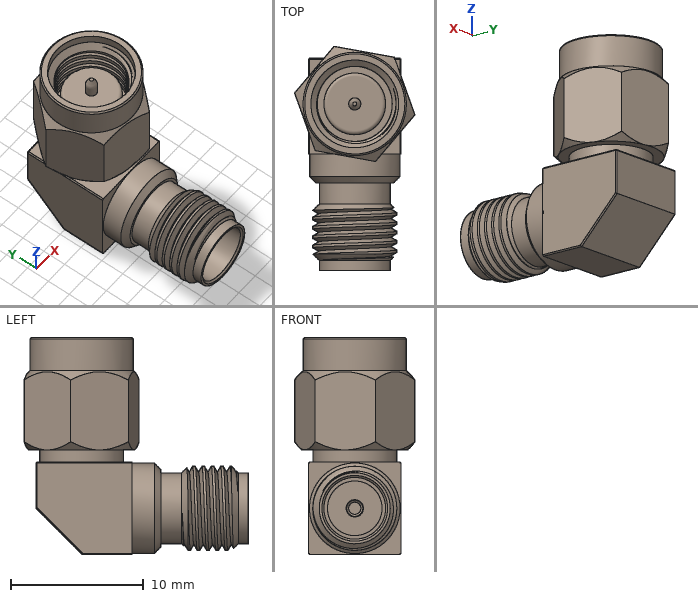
import cadquery as cq
import math


MM_PER_INCH = 25.4
THREADS_PER_INCH = 36
PITCH = MM_PER_INCH / THREADS_PER_INCH
FLANK_HALF_ANGLE = 30
FLANK_SLOPE = math.tan(math.radians(FLANK_HALF_ANGLE))
CUT_OVERSHOOT = 0.1

BLOCK_SIDE = 7.0
BLOCK_HALF = BLOCK_SIDE / 2
BLOCK_BACK_Y = 3.45
BLOCK_FRONT_Y = -3.8
BEVEL_SIZE = BLOCK_HALF
EDGE_BREAK = 0.1

FLANGE_R = 3.42
FLANGE_CHAMFER = 0.5
FLANGE_END = 5.98
NECK_R = 2.68
THREAD_R = MM_PER_INCH / 4 / 2
THREAD_DEPTH = 0.44
THREAD_START = 7.55
THREAD_END = 11.82
THREAD_CHAMFER = THREAD_R - NECK_R
FEMALE_END = 12.59
GROOVE_START = 6.53
GROOVE_TURNS = 8

SOCKET_R = 2.33
SOCKET_DEPTH = 2.0
SOCKET_LIP_CHAMFER = 0.15
INSULATOR_R = 2.06
INSULATOR_PROUD = 0.05
CONTACT_R = 0.65
CONTACT_MOUTH_R = 0.61
CONTACT_HOLE_R = 0.46
CONTACT_PROUD = 0.1
CONTACT_HOLE_DEPTH = 2.5

COLLAR_R = THREAD_R
COLLAR_TOP_Z = 8.4
PLUG_R = 2.33
PLUG_TOP_Z = 10.4
PLUG_FILLET = PLUG_R - INSULATOR_R
PIN_R = 0.46
PIN_STRAIGHT_TOP_Z = 11.26
PIN_CONE_R = 0.34
PIN_CONE_Z = 11.57
PIN_TIP_R = 0.15
PIN_TIP_Z = 11.9

NUT_BOTTOM_Z = 4.4
HEX_TOP_Z = 10.4
NUT_TOP_Z = 12.9
HEX_FLATS = 8.0
HEX_CORNER_R = HEX_FLATS / math.sqrt(3)
HEX_TURN = -10.25
SLEEVE_R = 3.9
SLEEVE_CHAMFER = 0.12
NUT_MOUTH_R = 3.31
NUT_MOUTH_DEPTH = 0.75
NUT_MINOR_R = 2.83
NUT_THREAD_DEPTH = 0.3


def revolve_profile(points):
    """Turn a closed (radius, height) outline about the Z axis."""
    return cq.Workplane("XZ").polyline(points).close().revolve(360, (0, 0), (0, 1))


def thread_groove(open_r, depth, z_start, z_end):
    """Helical V groove about Z; depth is negative for a groove that cuts toward the axis."""
    direction = math.copysign(1, depth)
    mouth_r = open_r - direction * CUT_OVERSHOOT
    root_r = open_r + depth
    half_width = abs(root_r - mouth_r) * FLANK_SLOPE
    path = cq.Wire.makeHelix(PITCH, z_end - z_start, mouth_r)
    profile = cq.Workplane("XZ").polyline([
        (mouth_r, -half_width),
        (root_r, 0),
        (mouth_r, half_width),
    ]).close()
    groove = profile.sweep(cq.Workplane(obj=path), isFrenet=True)
    return groove.translate((0, 0, z_start))


def elbow_block():
    """Square block beveled at the outer corner of the elbow, its sides and rear top edge eased."""
    block = (
        cq.Workplane("YZ")
        .polyline([
            (BLOCK_FRONT_Y, -BLOCK_HALF),
            (BLOCK_BACK_Y - BEVEL_SIZE, -BLOCK_HALF),
            (BLOCK_BACK_Y, -BLOCK_HALF + BEVEL_SIZE),
            (BLOCK_BACK_Y, BLOCK_HALF),
            (BLOCK_FRONT_Y, BLOCK_HALF),
        ])
        .close()
        .extrude(BLOCK_HALF, both=True)
    )
    front_edges = cq.selectors.BoxSelector(
        (-BLOCK_SIDE, BLOCK_FRONT_Y - EDGE_BREAK, -BLOCK_SIDE),
        (BLOCK_SIDE, BLOCK_FRONT_Y + EDGE_BREAK, BLOCK_SIDE),
    )
    rear_top_edge = cq.selectors.BoxSelector(
        (-EDGE_BREAK, BLOCK_BACK_Y - EDGE_BREAK, BLOCK_HALF - EDGE_BREAK),
        (EDGE_BREAK, BLOCK_BACK_Y + EDGE_BREAK, BLOCK_HALF + EDGE_BREAK),
    )
    side_edges = cq.selectors.SubtractSelector(cq.StringSyntaxSelector("#X"), front_edges)
    return block.edges(cq.selectors.SumSelector(side_edges, rear_top_edge)).chamfer(EDGE_BREAK)


def female_end():
    """Female connector, built along +Z and then laid down onto -Y."""
    floor = FEMALE_END - SOCKET_DEPTH
    insulator_face = floor + INSULATOR_PROUD
    contact_face = insulator_face + CONTACT_PROUD
    barrel = revolve_profile([
        (0, 0),
        (FLANGE_R, 0),
        (FLANGE_R, FLANGE_END - FLANGE_CHAMFER),
        (FLANGE_R - FLANGE_CHAMFER, FLANGE_END),
        (NECK_R, FLANGE_END),
        (NECK_R, THREAD_START),
        (THREAD_R, THREAD_START + THREAD_CHAMFER),
        (THREAD_R, THREAD_END - THREAD_CHAMFER),
        (NECK_R, THREAD_END),
        (NECK_R, FEMALE_END),
        (SOCKET_R + SOCKET_LIP_CHAMFER, FEMALE_END),
        (SOCKET_R, FEMALE_END - SOCKET_LIP_CHAMFER),
        (SOCKET_R, floor),
        (INSULATOR_R, floor),
        (INSULATOR_R, insulator_face),
        (CONTACT_R, insulator_face),
        (CONTACT_R, contact_face),
        (CONTACT_MOUTH_R, contact_face),
        (CONTACT_HOLE_R, contact_face - (CONTACT_MOUTH_R - CONTACT_HOLE_R)),
        (CONTACT_HOLE_R, contact_face - CONTACT_HOLE_DEPTH),
        (0, contact_face - CONTACT_HOLE_DEPTH),
    ])
    groove = thread_groove(THREAD_R, -THREAD_DEPTH, GROOVE_START, GROOVE_START + GROOVE_TURNS * PITCH)
    flange_blank = cq.Workplane("XY").circle(FLANGE_R).extrude(FLANGE_END)
    threaded_rod = cq.Workplane("XY").circle(THREAD_R).extrude(FEMALE_END).cut(groove)
    blank = threaded_rod.union(flange_blank)
    return blank.intersect(barrel).rotate((0, 0, 0), (1, 0, 0), 90)


def male_plug():
    """Collar and round-edged plug, with a center pin that rounds over into a cone."""
    outline = (
        cq.Workplane("XZ")
        .lineTo(COLLAR_R, 0)
        .lineTo(COLLAR_R, COLLAR_TOP_Z)
        .lineTo(PLUG_R, COLLAR_TOP_Z)
        .lineTo(PLUG_R, PLUG_TOP_Z - PLUG_FILLET)
        .tangentArcPoint((PLUG_R - PLUG_FILLET, PLUG_TOP_Z), relative=False)
        .lineTo(PIN_R, PLUG_TOP_Z)
        .lineTo(PIN_R, PIN_STRAIGHT_TOP_Z)
        .tangentArcPoint((PIN_CONE_R, PIN_CONE_Z), relative=False)
        .lineTo(PIN_TIP_R, PIN_TIP_Z)
        .lineTo(0, PIN_TIP_Z)
        .close()
    )
    return outline.revolve(360, (0, 0), (0, 1))


def coupling_nut():
    """Hex nut with a round sleeve, its lower bore seated on the collar."""
    hex_chamfer_top = HEX_CORNER_R - SLEEVE_R
    hex_chamfer_bottom = HEX_CORNER_R - HEX_FLATS / 2
    hexagon = (
        cq.Workplane("XY", origin=(0, 0, NUT_BOTTOM_Z))
        .polygon(6, 2 * HEX_CORNER_R)
        .circle(NUT_MINOR_R)
        .extrude(NUT_TOP_Z - NUT_BOTTOM_Z)
        .rotate((0, 0, 0), (0, 0, 1), HEX_TURN)
    )
    mouth_end = NUT_TOP_Z - NUT_MOUTH_DEPTH
    turned_shape = revolve_profile([
        (COLLAR_R, NUT_BOTTOM_Z),
        (HEX_FLATS / 2, NUT_BOTTOM_Z),
        (HEX_CORNER_R, NUT_BOTTOM_Z + hex_chamfer_bottom),
        (HEX_CORNER_R, HEX_TOP_Z - hex_chamfer_top),
        (SLEEVE_R, HEX_TOP_Z),
        (SLEEVE_R, NUT_TOP_Z - SLEEVE_CHAMFER),
        (SLEEVE_R - SLEEVE_CHAMFER, NUT_TOP_Z),
        (NUT_MOUTH_R, NUT_TOP_Z),
        (NUT_MOUTH_R, mouth_end),
        (NUT_MINOR_R, mouth_end - (NUT_MOUTH_R - NUT_MINOR_R)),
        (NUT_MINOR_R, COLLAR_TOP_Z),
        (COLLAR_R, COLLAR_TOP_Z),
    ])
    groove = thread_groove(NUT_MINOR_R, NUT_THREAD_DEPTH, COLLAR_TOP_Z - PITCH, mouth_end)
    return hexagon.cut(groove).intersect(turned_shape)


body = elbow_block().union(female_end()).union(male_plug())
nut = coupling_nut()

result = cq.Compound.makeCompound([body.solids().val(), nut.solids().val()])